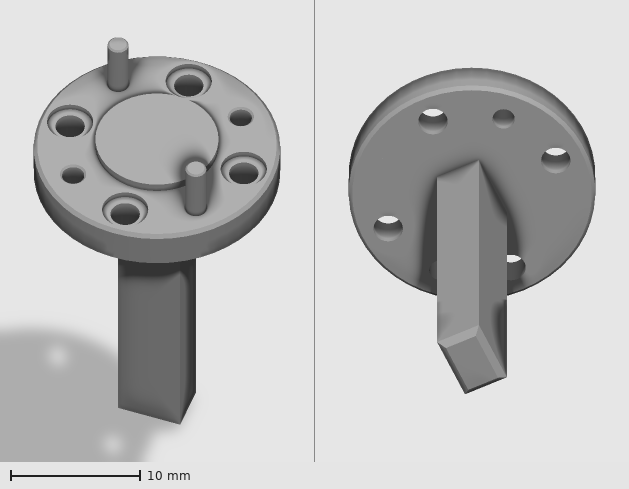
import cadquery as cq
import math

total_height = 34.35
flange_thickness = 3.33
pin_projection = 4.55
bar_length = total_height - flange_thickness - pin_projection

flange_diameter = 19.05
flange_chamfer = 0.27
boss_diameter = 9.5
boss_height = 0.72

bar_width = 5.12
bar_depth = 3.57
bar_end_chamfer = 0.5

pitch_radius = 7.15
screw_hole_diameter = 2.25
counterbore_diameter = 3.57
counterbore_depth = 0.5
screw_angles = [0, 90, 180, 270]

alignment_hole_diameter = 1.72
alignment_hole_chamfer = 0.155
alignment_angles = [45, 225]
pin_diameter = 1.6
pin_hole_chamfer = 0.1
pin_angles = [135, 315]
pin_tip_chamfer = 0.15


def pitch_points(angles):
    """Points on the pitch circle at the given angles in degrees."""
    return [
        (pitch_radius * math.cos(math.radians(angle)), pitch_radius * math.sin(math.radians(angle)))
        for angle in angles
    ]


def make_flange_blank():
    disc = cq.Workplane("XY").circle(flange_diameter / 2).extrude(flange_thickness)
    disc = disc.edges().chamfer(flange_chamfer)
    boss = (
        cq.Workplane("XY")
        .workplane(offset=flange_thickness)
        .circle(boss_diameter / 2)
        .extrude(boss_height)
    )
    return disc.union(boss)


def make_bar():
    bar = cq.Workplane("XY").rect(bar_width, bar_depth).extrude(-bar_length)
    return bar.faces("<Z").chamfer(bar_end_chamfer)


def chamfered_hole_cutter(diameter, chamfer, angles):
    """Through-hole cutters that widen to a chamfer at the flange's top face."""
    radius = diameter / 2
    profile = [
        (0, 0),
        (radius, 0),
        (radius, flange_thickness - chamfer),
        (radius + chamfer, flange_thickness),
        (0, flange_thickness),
    ]
    cutter = cq.Workplane("XZ").polyline(profile).close().revolve(360, (0, 0), (0, 1)).val()
    return cq.Workplane("XY").pushPoints(pitch_points(angles)).eachpoint(lambda place: cutter.moved(place))


def counterbored_hole_cutter():
    centres = pitch_points(screw_angles)
    holes = cq.Workplane("XY").pushPoints(centres).circle(screw_hole_diameter / 2).extrude(flange_thickness)
    counterbores = (
        cq.Workplane("XY")
        .workplane(offset=flange_thickness - counterbore_depth)
        .pushPoints(centres)
        .circle(counterbore_diameter / 2)
        .extrude(counterbore_depth)
    )
    return holes.union(counterbores)


def make_housing():
    """Flange, boss and bar in one piece, with all its holes."""
    housing = make_flange_blank().union(make_bar())
    housing = housing.cut(counterbored_hole_cutter())
    housing = housing.cut(
        chamfered_hole_cutter(alignment_hole_diameter, alignment_hole_chamfer, alignment_angles)
    )
    return housing.cut(chamfered_hole_cutter(pin_diameter, pin_hole_chamfer, pin_angles))


def make_pin(centre):
    """Alignment pin, flush with the underside of the flange."""
    pin = cq.Workplane("XY").circle(pin_diameter / 2).extrude(flange_thickness + pin_projection)
    pin = pin.faces(">Z").chamfer(pin_tip_chamfer)
    return pin.translate((*centre, 0))


housing = make_housing()
pins = [make_pin(centre) for centre in pitch_points(pin_angles)]

result = cq.Compound.makeCompound([housing.val(), *[pin.val() for pin in pins]])